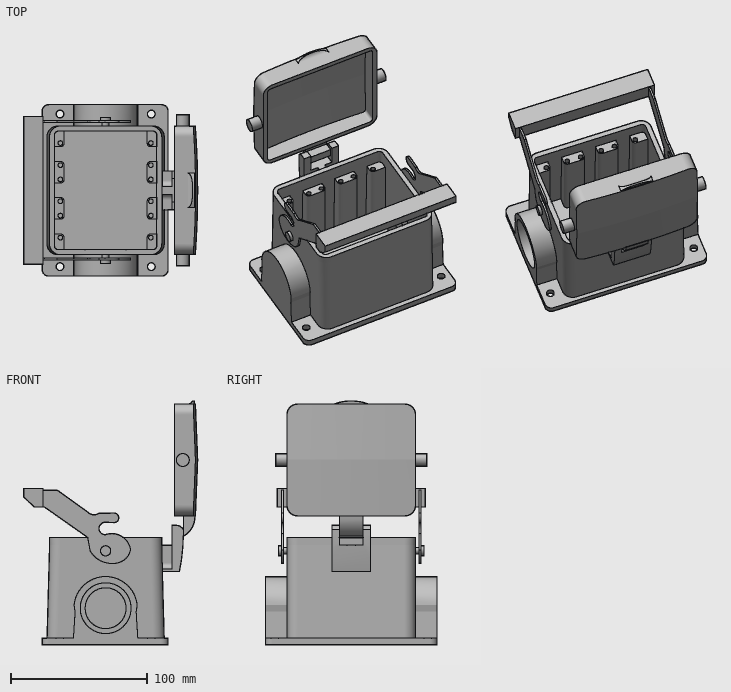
import cadquery as cq
import math


OVERALL_LENGTH_X = 127.73

FLANGE_LENGTH_X = 92.6
FLANGE_CENTRE_X = -0.35
FLANGE_WIDTH_Y = 126.0
FLANGE_THICKNESS = 5.0
FLANGE_CORNER_RADIUS = 5.0
SCREW_HOLE_DIAMETER = 5.5
SCREW_SPACING_X = 67.0
SCREW_SPACING_Y = 112.0

SHELL_TOP_Z = 78.9
RIM_HEIGHT = 5.8
RIM_BOTTOM_Z = SHELL_TOP_Z - RIM_HEIGHT
RIM_LENGTH_X = 82.4
SHELL_FOOT_LENGTH_X = 86.4
SHELL_WIDTH_Y = 94.4
SHELL_CORNER_RADIUS = 8.0
SHELL_WALL = 3.7
CAVITY_CORNER_RADIUS = 3.0

PILLAR_TOP_Z = 67.5
PILLAR_DEPTH_X = 7.0
PILLAR_CORNER_RADIUS = 2.7
PILLAR_HOLE_DIAMETER = 3.4
PILLAR_HOLE_DEPTH = 15.0
PILLAR_PITCH_Y = 26.5
PILLAR_WIDTH_Y = 15.9
END_PILLAR_INNER_Y = 32.0

ENTRY_CENTRE_Z = 26.9
ENTRY_OUTER_RADIUS = 23.25
ENTRY_ARC_END_Z = 29.0
ENTRY_NECK_Z = 24.2
ENTRY_NECK_HALF_WIDTH = 22.4
ENTRY_FOOT_HALF_WIDTH = 23.6
ENTRY_BORE_DIAMETER = 37.3
ENTRY_HOLE_DIAMETER = 30.0
ENTRY_BORE_END_Y = 48.5

BRACKET_HALF_WIDTH = 14.3
BRACKET_FLOOR_Z = 53.7
BRACKET_FLOOR_THICKNESS = 2.1
BRACKET_TOP_Z = 87.8
BRACKET_PLATE_X = 48.6
BRACKET_BACK_X = 57.0
BRACKET_BACK_BOTTOM_X = 54.2
BRACKET_BACK_BEND_Z = 80.0
BRACKET_ROUND_START_X = 52.0
BRACKET_ROUND_END_Z = 84.8
BRACKET_ROUND_MIDDLE = (55.0, 86.8)
BRACKET_BACK_MIDDLE = (56.3, 66.85)
BRACKET_RIB_HALF_WIDTH = 3.0
BRACKET_RIB_FILLET = 4.1
BRACKET_SLOT_HALF_WIDTH = 8.7

GRIP_LEFT_X = -60.1
GRIP_RIGHT_X = -45.8
GRIP_TOP_Z = 114.8
GRIP_BOTTOM_Z = 101.0
GRIP_CHAMFER_X = 7.9
GRIP_CHAMFER_Z = 7.4
GRIP_LENGTH_Y = 108.7
ARM_THICKNESS = 1.5
ARM_INNER_Y = 49.7
ARM_TOP_Z = 113.6
ARM_TOP_END_X = -35.5
ARM_BOTTOM_START_X = -44.8
FINGER_ROOT_START = (-13.2, 97.6)
FINGER_ROOT_MIDDLE = (-9.5, 95.6)
FINGER_ROOT_END = (-4.9, 96.6)
FINGER_TIP_TOP = (5.5, 96.8)
FINGER_TIP = (9.7, 93.3)
FINGER_TIP_BOTTOM = (6.0, 89.6)
NOTCH_TOP = (-0.1, 89.9)
NOTCH_MIDDLE = (-4.8, 85.4)
NOTCH_BOTTOM = (-0.3, 80.9)
LOBE_TOP = (8.0, 81.3)
LOBE_RIGHT = (18.3, 69.7)
LOBE_LOWER_RIGHT = (13.6, 62.3)
LOBE_BOTTOM = (5.4, 59.8)
LOBE_LOWER_LEFT = (-5.0, 62.4)
LOBE_LEFT = (-11.3, 69.0)
NECK_BOTTOM = (-13.2, 78.8)
RIVET_Z = 69.0
RIVET_HEAD_DIAMETER = 7.5
RIVET_SHANK_DIAMETER = 5.0
RIVET_END_Y = 53.5

COVER_FRONT_X = 50.5
COVER_BACK_X = GRIP_LEFT_X + OVERALL_LENGTH_X
COVER_CENTRE_Z = 135.65
COVER_HEIGHT_Z = 82.2
COVER_TOP_Z = COVER_CENTRE_Z + COVER_HEIGHT_Z / 2
COVER_BOTTOM_Z = COVER_CENTRE_Z - COVER_HEIGHT_Z / 2
COVER_CORNER_RADIUS = 7.8
COVER_WALL = 3.6
COVER_BACK_THICKNESS = 3.2
COVER_CAVITY_RADIUS = 2.5
COVER_BACK_RADIUS = 640.0
COVER_BACK_SLOPE_DEGREES = 2.3
COVER_PIN_DIAMETER = 9.5
COVER_PIN_X = 56.65
COVER_PIN_END_Y = 55.5
THUMB_TOP_Z = 179.06
THUMB_HALF_WIDTH = 12.6
THUMB_FRONT_X = 59.8
THUMB_CREST_X = 63.9
THUMB_BACK_X = 65.2
THUMB_HOLLOW_MIDDLE = (62.2, 177.25)
COVER_ARM_BACK_X = 65.6
COVER_ARM_BEND_Z = 93.5
COVER_ARM_BEND_MIDDLE = (63.2, 85.5)
COVER_ARM_TIP_X = 57.5
COVER_ARM_TIP_Z = 79.9
COVER_LUG_BOTTOM_Z = 78.5
COVER_LUG_BOTTOM_END_X = 56.5
COVER_LUG_TOP_Z = 84.7


def rounded_block(length_x, width_y, bottom_z, top_z, radius):
    """Upright block centred on the Z axis with rounded vertical edges."""
    block = cq.Workplane("XY").workplane(offset=bottom_z).rect(length_x, width_y).extrude(top_z - bottom_z)
    return block.edges("|Z").fillet(radius)


def tapered_block(bottom_length, top_length, width_y, bottom_z, top_z, radius):
    """Block whose two X walls lean inwards towards the top, with rounded corners."""
    foot = cq.Sketch().rect(bottom_length, width_y).vertices().fillet(radius)
    top = cq.Sketch().rect(top_length, width_y).vertices().fillet(radius)
    foot_face = foot.moved(cq.Location(cq.Vector(0, 0, bottom_z)))
    top_face = top.moved(cq.Location(cq.Vector(0, 0, top_z)))
    return cq.Workplane("XY").placeSketch(foot_face, top_face).loft(ruled=True)


def stepped_block(inset, bottom_z, radius):
    """Tapered lower part with a straight rim above; inset shrinks it on all four sides."""
    rim_length = RIM_LENGTH_X - 2 * inset
    foot_length = SHELL_FOOT_LENGTH_X - 2 * inset
    width = SHELL_WIDTH_Y - 2 * inset
    lower = tapered_block(foot_length, rim_length, width, bottom_z, RIM_BOTTOM_Z, radius)
    rim = rounded_block(rim_length, width, RIM_BOTTOM_Z, SHELL_TOP_Z, radius)
    return lower.union(rim)


def cylinder_y(x, z, diameter, start_y, end_y):
    """Cylinder along Y between two Y positions."""
    plane = cq.Workplane(cq.Plane(origin=(x, start_y, z), xDir=(1, 0, 0), normal=(0, 1, 0)))
    return plane.circle(diameter / 2).extrude(end_y - start_y)


def flange():
    """Mounting plate with a screw hole near each corner."""
    plate = rounded_block(FLANGE_LENGTH_X, FLANGE_WIDTH_Y, 0, FLANGE_THICKNESS, FLANGE_CORNER_RADIUS)
    plate = plate.translate((FLANGE_CENTRE_X, 0, 0))
    holes = (
        cq.Workplane("XY")
        .rect(SCREW_SPACING_X, SCREW_SPACING_Y, forConstruction=True)
        .vertices()
        .circle(SCREW_HOLE_DIAMETER / 2)
        .extrude(FLANGE_THICKNESS)
    )
    return plate.cut(holes)


def entry_bosses():
    """Solid arched bosses that reach both ends of the flange."""
    arc_dz = ENTRY_ARC_END_Z - ENTRY_CENTRE_Z
    arc_x = math.sqrt(ENTRY_OUTER_RADIUS**2 - arc_dz**2)
    return (
        cq.Workplane("XZ")
        .moveTo(-ENTRY_FOOT_HALF_WIDTH, 0)
        .lineTo(-ENTRY_FOOT_HALF_WIDTH, FLANGE_THICKNESS)
        .lineTo(-ENTRY_NECK_HALF_WIDTH, ENTRY_NECK_Z)
        .lineTo(-arc_x, ENTRY_ARC_END_Z)
        .threePointArc((0, ENTRY_CENTRE_Z + ENTRY_OUTER_RADIUS), (arc_x, ENTRY_ARC_END_Z))
        .lineTo(ENTRY_NECK_HALF_WIDTH, ENTRY_NECK_Z)
        .lineTo(ENTRY_FOOT_HALF_WIDTH, FLANGE_THICKNESS)
        .lineTo(ENTRY_FOOT_HALF_WIDTH, 0)
        .close()
        .extrude(FLANGE_WIDTH_Y / 2, both=True)
    )


def pillar(side, low_y, high_y, hole_ys):
    """Pillar on one X wall, rounded around each of its screw holes."""
    face_x = RIM_LENGTH_X / 2 - SHELL_WALL - PILLAR_DEPTH_X
    root_x = SHELL_FOOT_LENGTH_X / 2 - SHELL_WALL / 2
    height = PILLAR_TOP_Z - FLANGE_THICKNESS
    post = cq.Workplane("XY").box(root_x - face_x, high_y - low_y, height, centered=False)
    post = post.translate((face_x, low_y, FLANGE_THICKNESS))
    for hole_y in hole_ys:
        corner = "<X and >Y" if hole_y > (low_y + high_y) / 2 else "<X and <Y"
        post = post.edges("|Z").edges(corner).fillet(PILLAR_CORNER_RADIUS)
    hole_x = face_x + PILLAR_CORNER_RADIUS
    holes = (
        cq.Workplane("XY")
        .workplane(offset=PILLAR_TOP_Z - PILLAR_HOLE_DEPTH)
        .pushPoints([(hole_x, hole_y) for hole_y in hole_ys])
        .circle(PILLAR_HOLE_DIAMETER / 2)
        .extrude(PILLAR_HOLE_DEPTH)
    )
    post = post.cut(holes)
    return post if side > 0 else post.mirror("YZ")


def pillars():
    """Two pillars with two holes and two end pillars with one hole on each X wall."""
    half_pillar = PILLAR_WIDTH_Y / 2
    hole_offset = half_pillar - PILLAR_CORNER_RADIUS
    end_hole_y = END_PILLAR_INNER_Y + PILLAR_CORNER_RADIUS
    end_wall_y = SHELL_WIDTH_Y / 2 - SHELL_WALL / 2
    posts = []
    for side in (-1, 1):
        for centre_y in (-PILLAR_PITCH_Y / 2, PILLAR_PITCH_Y / 2):
            hole_ys = [centre_y - hole_offset, centre_y + hole_offset]
            posts.append(pillar(side, centre_y - half_pillar, centre_y + half_pillar, hole_ys))
        posts.append(pillar(side, END_PILLAR_INNER_Y, end_wall_y, [end_hole_y]))
        posts.append(pillar(side, -end_wall_y, -END_PILLAR_INNER_Y, [-end_hole_y]))
    return posts


def hinge_bracket():
    """Ribbed foot and a slotted plate that stands on it."""
    plate = (
        cq.Workplane("XZ")
        .moveTo(BRACKET_PLATE_X, BRACKET_FLOOR_Z)
        .lineTo(BRACKET_BACK_BOTTOM_X, BRACKET_FLOOR_Z)
        .threePointArc(BRACKET_BACK_MIDDLE, (BRACKET_BACK_X, BRACKET_BACK_BEND_Z))
        .lineTo(BRACKET_BACK_X, BRACKET_ROUND_END_Z)
        .threePointArc(BRACKET_ROUND_MIDDLE, (BRACKET_ROUND_START_X, BRACKET_TOP_Z))
        .lineTo(BRACKET_PLATE_X, BRACKET_TOP_Z)
        .close()
        .extrude(BRACKET_HALF_WIDTH, both=True)
    )
    slot = cq.Workplane("XY").box(
        BRACKET_BACK_X - BRACKET_PLATE_X,
        2 * BRACKET_SLOT_HALF_WIDTH,
        BRACKET_TOP_Z - RIM_BOTTOM_Z,
        centered=(False, True, False),
    )
    slot = slot.translate((BRACKET_PLATE_X, 0, RIM_BOTTOM_Z))

    root_x = RIM_LENGTH_X / 2 - SHELL_WALL / 2
    floor_top = BRACKET_FLOOR_Z + BRACKET_FLOOR_THICKNESS
    fillet_y = BRACKET_RIB_HALF_WIDTH + BRACKET_RIB_FILLET
    bulge = BRACKET_RIB_FILLET * (1 - math.sqrt(0.5))
    foot = (
        cq.Workplane("YZ")
        .workplane(offset=root_x)
        .moveTo(-BRACKET_HALF_WIDTH, BRACKET_FLOOR_Z)
        .lineTo(BRACKET_HALF_WIDTH, BRACKET_FLOOR_Z)
        .lineTo(BRACKET_HALF_WIDTH, floor_top)
        .lineTo(fillet_y, floor_top)
        .threePointArc(
            (BRACKET_RIB_HALF_WIDTH + bulge, floor_top + bulge),
            (BRACKET_RIB_HALF_WIDTH, floor_top + BRACKET_RIB_FILLET),
        )
        .lineTo(BRACKET_RIB_HALF_WIDTH, RIM_BOTTOM_Z)
        .lineTo(-BRACKET_RIB_HALF_WIDTH, RIM_BOTTOM_Z)
        .lineTo(-BRACKET_RIB_HALF_WIDTH, floor_top + BRACKET_RIB_FILLET)
        .threePointArc(
            (-BRACKET_RIB_HALF_WIDTH - bulge, floor_top + bulge),
            (-fillet_y, floor_top),
        )
        .lineTo(-BRACKET_HALF_WIDTH, floor_top)
        .close()
        .extrude(BRACKET_PLATE_X - root_x)
    )
    return plate.cut(slot).union(foot)


def lever_arm():
    """Flat arm with a hooked notch for the cover pin and a wide lobe around the rivet."""
    return (
        cq.Workplane("XZ", origin=(0, -ARM_INNER_Y, 0))
        .moveTo(GRIP_RIGHT_X, ARM_TOP_Z)
        .lineTo(ARM_TOP_END_X, ARM_TOP_Z)
        .lineTo(*FINGER_ROOT_START)
        .threePointArc(FINGER_ROOT_MIDDLE, FINGER_ROOT_END)
        .lineTo(*FINGER_TIP_TOP)
        .threePointArc(FINGER_TIP, FINGER_TIP_BOTTOM)
        .lineTo(*NOTCH_TOP)
        .threePointArc(NOTCH_MIDDLE, NOTCH_BOTTOM)
        .threePointArc(LOBE_TOP, LOBE_RIGHT)
        .threePointArc(LOBE_LOWER_RIGHT, LOBE_BOTTOM)
        .threePointArc(LOBE_LOWER_LEFT, LOBE_LEFT)
        .lineTo(*NECK_BOTTOM)
        .lineTo(ARM_BOTTOM_START_X, GRIP_BOTTOM_Z)
        .lineTo(GRIP_RIGHT_X, GRIP_BOTTOM_Z)
        .close()
        .extrude(ARM_THICKNESS)
    )


def locking_lever():
    """Grip bar, two arms and the two headed rivets that hold them to the shell."""
    grip = (
        cq.Workplane("XZ")
        .moveTo(GRIP_LEFT_X, GRIP_TOP_Z)
        .lineTo(GRIP_RIGHT_X, GRIP_TOP_Z)
        .lineTo(GRIP_RIGHT_X, GRIP_BOTTOM_Z)
        .lineTo(GRIP_LEFT_X + GRIP_CHAMFER_X, GRIP_BOTTOM_Z)
        .lineTo(GRIP_LEFT_X, GRIP_BOTTOM_Z + GRIP_CHAMFER_Z)
        .close()
        .extrude(GRIP_LENGTH_Y / 2, both=True)
    )
    wall_y = SHELL_WIDTH_Y / 2 - SHELL_WALL / 2
    shank = cylinder_y(0, RIVET_Z, RIVET_SHANK_DIAMETER, -RIVET_END_Y, -wall_y)
    head = cylinder_y(0, RIVET_Z, RIVET_HEAD_DIAMETER, -RIVET_END_Y, -ARM_INNER_Y - ARM_THICKNESS)
    arm = lever_arm().union(shank).union(head)
    return grip.union(arm).union(arm.mirror("XZ"))


def make_housing():
    """Flanged shell with pillars, bracket and lever; only the -Y cable entry is bored open."""
    envelope = stepped_block(0, 0, SHELL_CORNER_RADIUS)
    body = envelope.union(flange()).union(entry_bosses())
    body = body.union(hinge_bracket())
    body = body.cut(stepped_block(SHELL_WALL, FLANGE_THICKNESS, CAVITY_CORNER_RADIUS))
    cavity_end_y = SHELL_WIDTH_Y / 2 - SHELL_WALL
    for post in pillars():
        body = body.union(post.intersect(envelope))
    end_y = FLANGE_WIDTH_Y / 2
    bore = cylinder_y(0, ENTRY_CENTRE_Z, ENTRY_BORE_DIAMETER, -end_y, -ENTRY_BORE_END_Y)
    hole = cylinder_y(0, ENTRY_CENTRE_Z, ENTRY_HOLE_DIAMETER, -end_y, -cavity_end_y)
    body = body.cut(bore).cut(hole)
    return body.union(locking_lever())


def ridged_block(length_y, height_z, radius, ridge_x):
    """Rounded block from the cover's front plane to a back of two bowed faces that meet in a ridge."""
    block = (
        cq.Workplane("YZ", origin=(COVER_FRONT_X, 0, COVER_CENTRE_Z))
        .rect(length_y, height_z)
        .extrude(ridge_x - COVER_FRONT_X)
        .edges("|X")
        .fillet(radius)
    )
    bow = cq.Workplane("XY", origin=(ridge_x - COVER_BACK_RADIUS, 0, COVER_CENTRE_Z))
    bow = bow.circle(COVER_BACK_RADIUS).extrude(COVER_HEIGHT_Z, both=True)
    for slope in (-COVER_BACK_SLOPE_DEGREES, COVER_BACK_SLOPE_DEGREES):
        block = block.intersect(bow.rotate((ridge_x, 0, COVER_CENTRE_Z), (ridge_x, 1, COVER_CENTRE_Z), slope))
    return block


def thumb_tab():
    """Low curved crest on top of the cover, with a hollowed front."""
    crest = (
        cq.Workplane("YZ", origin=(THUMB_FRONT_X, 0, 0))
        .moveTo(-THUMB_HALF_WIDTH, COVER_TOP_Z)
        .threePointArc((0, THUMB_TOP_Z), (THUMB_HALF_WIDTH, COVER_TOP_Z))
        .lineTo(THUMB_HALF_WIDTH, COVER_TOP_Z - COVER_WALL / 2)
        .lineTo(-THUMB_HALF_WIDTH, COVER_TOP_Z - COVER_WALL / 2)
        .close()
        .extrude(THUMB_BACK_X - THUMB_FRONT_X)
    )
    hollow = (
        cq.Workplane("XZ")
        .moveTo(THUMB_FRONT_X, COVER_TOP_Z)
        .threePointArc(THUMB_HOLLOW_MIDDLE, (THUMB_CREST_X, THUMB_TOP_Z))
        .lineTo(THUMB_FRONT_X, THUMB_TOP_Z)
        .close()
        .extrude(THUMB_HALF_WIDTH, both=True)
    )
    return crest.cut(hollow)


def cover_hinge_arm():
    """Arm that hangs from the cover and hooks a lug into the bracket slot."""
    return (
        cq.Workplane("XZ")
        .moveTo(BRACKET_BACK_X, COVER_BOTTOM_Z + COVER_WALL)
        .lineTo(BRACKET_BACK_X, COVER_LUG_TOP_Z)
        .lineTo(COVER_FRONT_X, COVER_LUG_TOP_Z)
        .lineTo(COVER_FRONT_X, COVER_LUG_BOTTOM_Z)
        .lineTo(COVER_LUG_BOTTOM_END_X, COVER_LUG_BOTTOM_Z)
        .lineTo(BRACKET_BACK_X, COVER_ARM_TIP_Z)
        .lineTo(COVER_ARM_TIP_X, COVER_ARM_TIP_Z)
        .threePointArc(COVER_ARM_BEND_MIDDLE, (COVER_ARM_BACK_X, COVER_ARM_BEND_Z))
        .lineTo(COVER_ARM_BACK_X, COVER_BOTTOM_Z + COVER_WALL)
        .close()
        .extrude(BRACKET_SLOT_HALF_WIDTH, both=True)
    )


def make_cover():
    """Hollow cover with its thumb tab, hinge arm and two side pins."""
    shell = ridged_block(SHELL_WIDTH_Y, COVER_HEIGHT_Z, COVER_CORNER_RADIUS, COVER_BACK_X)
    cavity = ridged_block(
        SHELL_WIDTH_Y - 2 * COVER_WALL,
        COVER_HEIGHT_Z - 2 * COVER_WALL,
        COVER_CAVITY_RADIUS,
        COVER_BACK_X - COVER_BACK_THICKNESS,
    )
    cover = shell.union(thumb_tab()).union(cover_hinge_arm()).cut(cavity)
    wall_y = SHELL_WIDTH_Y / 2 - COVER_WALL
    for side in (-1, 1):
        start_y = side * wall_y
        end_y = side * COVER_PIN_END_Y
        pin = cylinder_y(COVER_PIN_X, COVER_CENTRE_Z, COVER_PIN_DIAMETER, start_y, end_y)
        cover = cover.union(pin)
    return cover


housing = make_housing()
cover = make_cover()
result = cq.Compound.makeCompound([housing.solids().val(), cover.solids().val()])